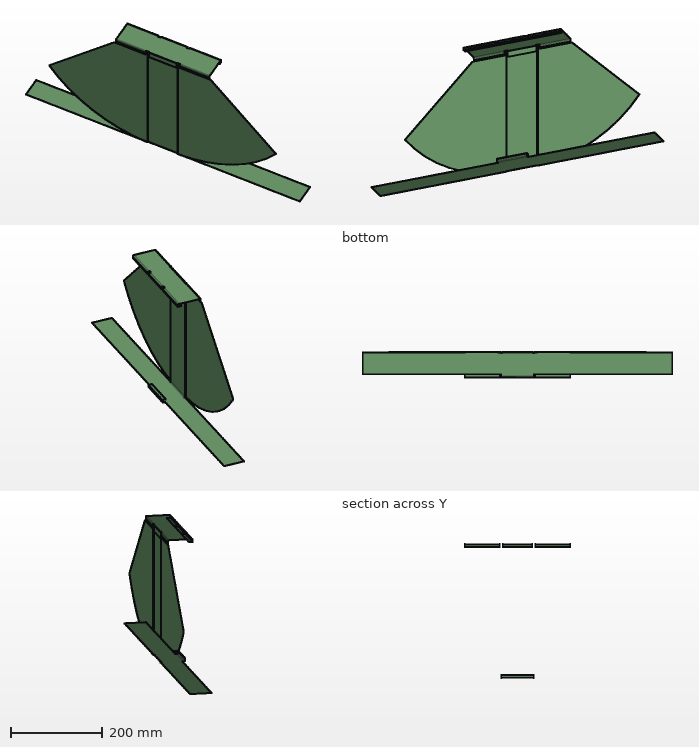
import cadquery as cq
import math

overall_length = 678.0
overall_depth = 57.0
overall_height = 295.0
sheet = 1.0

fold_x = 36.0
fold_angle = 45.0
fan_radius = 318.5
fan_center_x = 27.0
fan_corner_x = 281.0
wing_top_x = 119.0
wing_top_z = 285.0
neck_x = 42.0

tab_bend_radius = 2.0
lip_bend_radius = 3.5
lip_height = 7.5
return_length = 9.0
long_flange_rear = 50.0

cap_length = 232.0
tab_slot_inner = 34.0
tab_slot_outer = neck_x
lip_slot_inner = 32.5
lip_slot_outer = 38.5
lip_slot_depth = 5.0
center_tab_height = 15.5

tab_front = sheet
strip_front = 2 * sheet
strip_rear = 3 * sheet

wing_inner_x = fold_x + strip_front / math.tan(math.radians(fold_angle))


def block(x_range, y_range, z_range):
    """Box spanning the given ranges."""
    spans = (x_range, y_range, z_range)
    sizes = [high - low for low, high in spans]
    return cq.Workplane("XY").box(*sizes, centered=False).translate([low for low, high in spans])


def mirrored_pair(x_low, x_high, y_range, z_range):
    """Two boxes placed symmetrically about the YZ plane."""
    right = block((x_low, x_high), y_range, z_range)
    return right.union(right.mirror("YZ"))


def lipped_flange(length, front):
    """Top flange with a plain front lip and a rear lip that returns forward."""
    half = length / 2
    bottom = overall_height - lip_height
    outer = block((-half, half), (front, overall_depth), (bottom, overall_height))
    inner = block(
        (-half, half),
        (front + sheet, overall_depth - sheet),
        (bottom + sheet, overall_height - sheet),
    )
    outer = outer.edges("|X and >Z and <Y").fillet(tab_bend_radius)
    outer = outer.edges("|X and >Z and >Y").fillet(lip_bend_radius)
    inner = inner.edges("|X and >Z and <Y").fillet(tab_bend_radius - sheet)
    inner = inner.edges("|X and >Z and >Y").fillet(lip_bend_radius - sheet)
    opening = block(
        (-half, half),
        (front + sheet, overall_depth - return_length),
        (bottom, bottom + sheet),
    )
    return outer.cut(inner).cut(opening)


def wing():
    """Right-hand fan wing with its neck and the step back to the centre strip."""
    center_z = sheet + fan_radius

    def arc_z(x):
        return center_z - math.sqrt(fan_radius**2 - (x - fan_center_x) ** 2)

    middle_x = (wing_inner_x + fan_corner_x) / 2
    neck_top = overall_height - tab_bend_radius
    face = (
        cq.Workplane("XZ")
        .moveTo(wing_inner_x, arc_z(wing_inner_x))
        .threePointArc((middle_x, arc_z(middle_x)), (fan_corner_x, arc_z(fan_corner_x)))
        .lineTo(wing_top_x, wing_top_z)
        .lineTo(neck_x, wing_top_z)
        .lineTo(neck_x, neck_top)
        .lineTo(wing_inner_x, neck_top)
        .close()
        .extrude(-sheet)
    )
    rear_shift = sheet * math.tan(math.radians(fold_angle / 2))
    step = (
        cq.Workplane("XY")
        .workplane(offset=sheet)
        .moveTo(fold_x, strip_front)
        .lineTo(wing_inner_x, 0)
        .lineTo(wing_inner_x + rear_shift, sheet)
        .lineTo(fold_x + rear_shift, strip_rear)
        .lineTo(fold_x, strip_rear)
        .close()
        .extrude(neck_top - sheet)
    )
    return face.union(step)


def fan_plate():
    """Centre strip with two forward wings, a long bottom flange and a bottom lip."""
    channel = lipped_flange(2 * fold_x, strip_front)
    channel = channel.mirror("XY").translate((0, 0, overall_height))
    strip = block(
        (-fold_x, fold_x),
        (strip_front, strip_rear),
        (tab_bend_radius, overall_height - tab_bend_radius),
    )
    half = overall_length / 2
    long_flange = mirrored_pair(fold_x, half, (strip_front, long_flange_rear), (0, sheet))
    right_wing = wing()
    return (
        channel.union(strip)
        .union(long_flange)
        .union(right_wing)
        .union(right_wing.mirror("YZ"))
    )


def cap():
    """Top flange whose centre tab laps the front of the strip."""
    lip_bottom = overall_height - lip_height
    center_tab = block(
        (-tab_slot_inner, tab_slot_inner),
        (tab_front, strip_front),
        (overall_height - center_tab_height, lip_bottom),
    )
    tab_slots = mirrored_pair(
        tab_slot_inner,
        tab_slot_outer,
        (0, tab_front + tab_bend_radius),
        (lip_bottom, overall_height),
    )
    lip_slots = mirrored_pair(
        lip_slot_inner,
        lip_slot_outer,
        (overall_depth - lip_slot_depth, overall_depth),
        (lip_bottom, overall_height),
    )
    return lipped_flange(cap_length, tab_front).union(center_tab).cut(tab_slots).cut(lip_slots)


result = cq.Compound.makeCompound([fan_plate().val(), cap().val()])